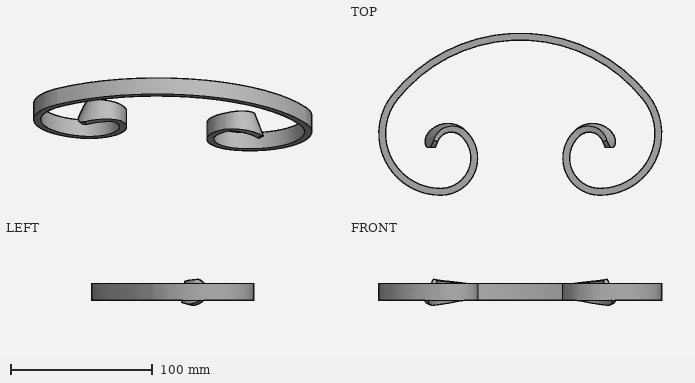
import cadquery as cq
import math

BAR_THICKNESS = 5.0
BAR_HEIGHT = 12.0

OVERALL_WIDTH = 200.0
OVERALL_DEPTH = 114.6
SHOULDER_RADIUS = 43.7
SCROLL_RADIUS = 26.3
CURL_RADIUS = 16.1
CURL_START = 47.0
CURL_END = 180.0

TIP_HEIGHT = 20.5
TIP_THICKNESS = 3.0
TIP_TILT = 24.0
TIP_ROUND_RADIUS = 9.3
ROUNDING_ANGLE = 150.0
CURL_SECTIONS = 8

shoulder_x = OVERALL_WIDTH / 2 - SHOULDER_RADIUS
shoulder_y = SHOULDER_RADIUS - OVERALL_DEPTH
scroll_y = SCROLL_RADIUS - OVERALL_DEPTH
shoulder_distance_squared = shoulder_x**2 + shoulder_y**2
back_radius = (SHOULDER_RADIUS**2 - shoulder_distance_squared) / (2 * (SHOULDER_RADIUS + shoulder_y))
back_centre = (0.0, -back_radius)
shoulder_centre = (-shoulder_x, shoulder_y)
scroll_centre = (-shoulder_x, scroll_y)
back_end = math.degrees(math.atan2(shoulder_y + back_radius, -shoulder_x))


def polar(centre, radius, angle):
    """Point on a circle at an angle in degrees."""
    turn = math.radians(angle)
    return (centre[0] + radius * math.cos(turn), centre[1] + radius * math.sin(turn))


curl_centre = polar(scroll_centre, SCROLL_RADIUS - CURL_RADIUS, CURL_START)


def bent_bar(centre, outer_radius, start, end):
    """Plain bar of rectangular section bent from one polar angle to another."""
    inner_radius = outer_radius - BAR_THICKNESS
    middle = (start + end) / 2
    return (
        cq.Workplane("XY", origin=(0, 0, -BAR_HEIGHT / 2))
        .moveTo(*polar(centre, outer_radius, start))
        .threePointArc(polar(centre, outer_radius, middle), polar(centre, outer_radius, end))
        .lineTo(*polar(centre, inner_radius, end))
        .threePointArc(polar(centre, inner_radius, middle), polar(centre, inner_radius, start))
        .close()
        .extrude(BAR_HEIGHT)
    )


def leaning_directions(angle, tilt):
    """Outward and forward directions of the curl at a polar angle.

    Outward is radial but raised by the tilt; forward runs level towards the tip.
    """
    turn = math.radians(angle)
    lean = math.radians(tilt)
    outward = cq.Vector(
        math.cos(lean) * math.cos(turn), math.cos(lean) * math.sin(turn), math.sin(lean)
    )
    forward = cq.Vector(-math.sin(turn), math.cos(turn), 0)
    return outward, forward


def curl_section(progress):
    """Section of the curl; it grows, thins and leans as progress runs from 0 to 1."""
    angle = CURL_START + progress * (CURL_END - CURL_START)
    height = BAR_HEIGHT + progress * (TIP_HEIGHT - BAR_HEIGHT)
    thickness = BAR_THICKNESS + progress * (TIP_THICKNESS - BAR_THICKNESS)
    outward, forward = leaning_directions(angle, progress * TIP_TILT)
    outer_point = (*polar(curl_centre, CURL_RADIUS, angle), 0)
    plane = cq.Plane(origin=outer_point, xDir=outward, normal=forward)
    return cq.Workplane(plane).center(-thickness / 2, 0).rect(thickness, height).wires().val()


def tip_trim():
    """Material to remove so that the leaning tip ends in a half circle."""
    outward, forward = leaning_directions(ROUNDING_ANGLE, TIP_TILT)
    middle_point = (*polar(curl_centre, CURL_RADIUS - TIP_THICKNESS / 2, ROUNDING_ANGLE), 0)
    plane = cq.Plane(origin=middle_point, xDir=forward, normal=outward)
    reach = CURL_RADIUS * math.sin(math.radians(CURL_END - ROUNDING_ANGLE))
    round_centre = reach - TIP_ROUND_RADIUS
    block_size = 2 * TIP_HEIGHT
    block = (
        cq.Workplane(plane)
        .center(round_centre + block_size / 2, 0)
        .rect(block_size, block_size)
        .extrude(CURL_RADIUS, both=True)
    )
    rounding = (
        cq.Workplane(plane)
        .center(round_centre, 0)
        .circle(TIP_ROUND_RADIUS)
        .extrude(CURL_RADIUS, both=True)
    )
    return block.cut(rounding)


def flared_curl():
    """Curl lofted through its leaning sections, with the free end rounded."""
    sections = [curl_section(i / (CURL_SECTIONS - 1)) for i in range(CURL_SECTIONS)]
    return cq.Workplane(cq.Solid.makeLoft(sections)).cut(tip_trim())


def half_scroll():
    """Left half of the part, from the middle of the back to the free end."""
    return (
        bent_bar(back_centre, back_radius, 90, back_end)
        .union(bent_bar(shoulder_centre, SHOULDER_RADIUS, back_end, 270))
        .union(bent_bar(scroll_centre, SCROLL_RADIUS, -90, CURL_START))
        .union(flared_curl())
    )


left_half = half_scroll()
result = left_half.union(left_half.mirror("YZ"))